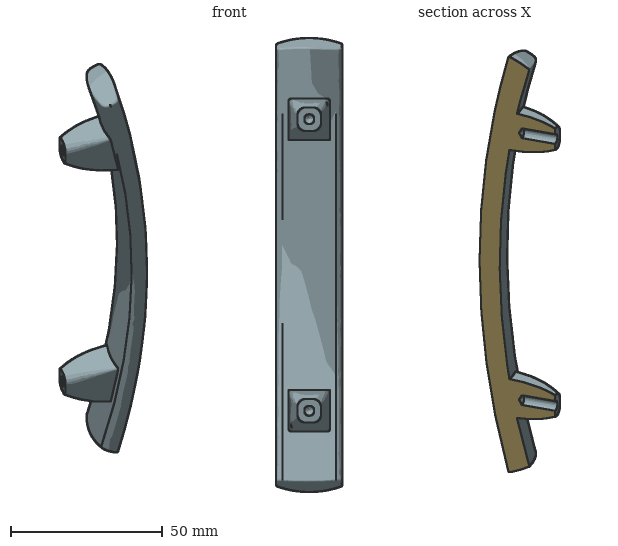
import cadquery as cq
import math

bar_width = 22.0
bar_crest_y = 27.4
bar_thickness = 7.5
outer_bow_radius = 272.0
inner_bow_radius = 243.7
outer_crown_radius = 41.9
inner_crown_radius = 31.4
outer_edge_fillet = 1.3
inner_edge_fillet = 3.0

cap_center_y = 13.3
cap_center_z = 73.5
cap_tilt = 24.7
cap_dome_radius = 41.0
cap_edge_fillet = 0.7

leg_spacing = 96.0
leg_length = 17.3
leg_root_half_width = 6.9
leg_foot_half_width = 3.9
leg_root_corner = 0.5
leg_foot_corner = 2.7
leg_bow_exponent = 2.5
leg_section_count = 4
hole_diameter = 3.3
hole_depth = 12.0
drill_point_angle = 118.0

half_width = bar_width / 2

blank_sweep = 44.0
blank_depth = 18.0
end_block_height = 29.9
end_block_overlap = 7.5


def crown_sag(crown_radius):
    return crown_radius - math.sqrt(crown_radius**2 - half_width**2)


def bowed_blank(crest_y, bow_radius, crown_radius, far_y):
    """Segment of a ring about an X axis, with a crowned face at crest_y and a plain one at far_y."""
    edge_y = crest_y - math.copysign(crown_sag(crown_radius), crest_y - far_y)
    axis_y = crest_y - bow_radius
    return (
        cq.Workplane("XY")
        .moveTo(-half_width, edge_y)
        .threePointArc((0, crest_y), (half_width, edge_y))
        .lineTo(half_width, far_y)
        .lineTo(-half_width, far_y)
        .close()
        .revolve(blank_sweep, (0, axis_y, 0), (1, axis_y, 0))
        .rotate((0, axis_y, 0), (1, axis_y, 0), -blank_sweep / 2)
    )


def end_cutter():
    """Everything beyond the domed upper end of the bar."""
    tilt = math.radians(cap_tilt)
    dome_y = cap_center_y + cap_dome_radius * math.sin(tilt)
    dome_z = cap_center_z - cap_dome_radius * math.cos(tilt)
    dome = cq.Workplane("XY").sphere(cap_dome_radius).translate((0, dome_y, dome_z))
    block = (
        cq.Workplane("XY", origin=(0, cap_center_y, cap_center_z - end_block_overlap))
        .rect(2 * bar_width, 2 * bar_width)
        .extrude(end_block_height)
    )
    return block.cut(dome)


def make_bar():
    """Crowned bar, slightly thicker towards its ends because its two bows are not concentric."""
    inner_crest_y = bar_crest_y - bar_thickness
    outer = bowed_blank(bar_crest_y, outer_bow_radius, outer_crown_radius, bar_crest_y - blank_depth)
    inner = bowed_blank(inner_crest_y, inner_bow_radius, inner_crown_radius, inner_crest_y + blank_depth)
    bar = outer.intersect(inner)
    bar = bar.edges("<X or >X").edges("%CIRCLE").edges(">Y").fillet(outer_edge_fillet)
    bar = bar.edges("<X or >X").edges("%CIRCLE").edges("<Y").fillet(inner_edge_fillet)
    upper_end = end_cutter()
    bar = bar.cut(upper_end).cut(upper_end.mirror("XY"))
    return bar.faces("<Z or >Z").edges().fillet(cap_edge_fillet)


def leg_section(t):
    """Half width and corner radius of a leg; t is 0 at the root and 1 at the foot."""
    half = leg_root_half_width - (leg_root_half_width - leg_foot_half_width) * t**leg_bow_exponent
    corner = leg_foot_corner - (leg_foot_corner - leg_root_corner) * (1 - t) ** 2
    return half, corner


def make_leg(center_z):
    """Square at the root inside the bar, bowing in to a well-rounded foot at y = 0."""
    step = leg_length / (leg_section_count - 1)
    sections = []
    for i in range(leg_section_count):
        half, corner = leg_section(i / (leg_section_count - 1))
        section = cq.Sketch().rect(2 * half, 2 * half).vertices().fillet(corner).reset()
        sections.append(section.moved(cq.Location(cq.Vector(0, 0, i * step))))
    return cq.Workplane("XZ", origin=(0, leg_length, center_z)).placeSketch(*sections).loft()


def make_hole(center_z):
    """Blind hole drilled from the foot, ending in a drill point."""
    radius = hole_diameter / 2
    point_length = radius / math.tan(math.radians(drill_point_angle / 2))
    return (
        cq.Workplane("XY", origin=(0, 0, center_z))
        .polyline([(0, 0), (radius, 0), (radius, hole_depth), (0, hole_depth + point_length)])
        .close()
        .revolve(360, (0, 0, 0), (0, 1, 0))
    )


handle = make_bar()
for leg_z in (-leg_spacing / 2, leg_spacing / 2):
    handle = handle.union(make_leg(leg_z)).cut(make_hole(leg_z))

result = cq.Workplane(handle.solids().val())